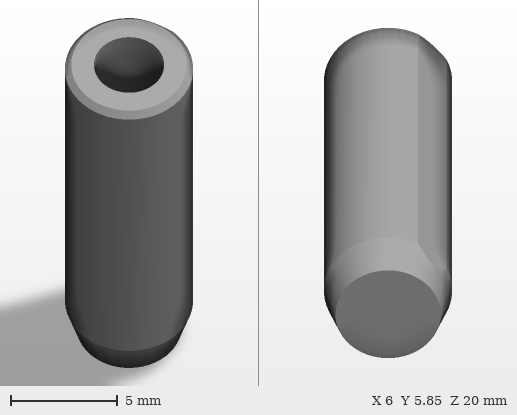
import cadquery as cq
import math

length = 20.0
radius = 3.0
flat_offset = 2.85

taper_height = 2.0
taper_angle = 15.0
tip_radius = radius - taper_height * math.tan(math.radians(taper_angle))

chamfer_width = 0.3

hole_radius = 1.65
hole_depth = 10.0
drill_point_angle = 118.0
drill_point_height = hole_radius / math.tan(math.radians(drill_point_angle / 2))


def pin_body():
    """Cylinder with a tapered bottom and a chamfered top, revolved about Z."""
    return (
        cq.Workplane("XZ")
        .moveTo(0, 0)
        .lineTo(tip_radius, 0)
        .lineTo(radius, taper_height)
        .lineTo(radius, length - chamfer_width)
        .lineTo(radius - chamfer_width, length)
        .lineTo(0, length)
        .close()
        .revolve(360, (0, 0), (0, 1))
    )


def blind_hole():
    """Drilled volume, open at the top face."""
    hole_floor = length - hole_depth
    return (
        cq.Workplane("XZ")
        .moveTo(0, hole_floor - drill_point_height)
        .lineTo(hole_radius, hole_floor)
        .lineTo(hole_radius, length)
        .lineTo(0, length)
        .close()
        .revolve(360, (0, 0), (0, 1))
    )


def flat_cutter():
    """Block outside the flat on the +Y side, over the full length."""
    return (
        cq.Workplane("XY")
        .box(2 * radius, radius, length, centered=(True, False, False))
        .translate((0, flat_offset, 0))
    )


result = pin_body().cut(blind_hole()).cut(flat_cutter())